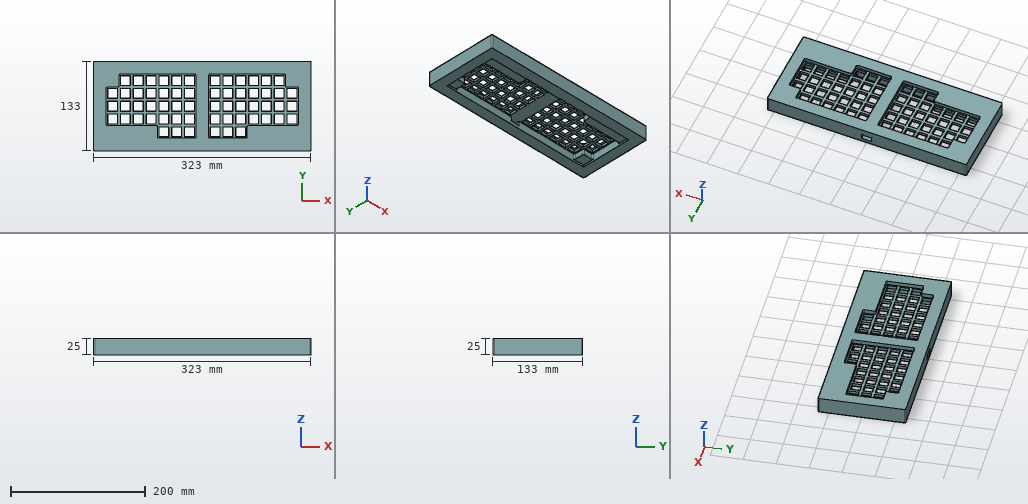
import cadquery as cq
length = 323.0
columns_across = 17
rows_across = 7
pitch = length / columns_across
width = rows_across * pitch
height = 25.0
outer_corner_radius = 2.0

hand_columns = 7
hand_rows = 5
thumb_columns = 3
middle_bar = pitch
opening_corner_radius = outer_corner_radius

key_hole = 14.2
plate_depth = 6.0
plate_thickness = 5.0
plate_bottom = height - plate_depth - plate_thickness

cover_recess_depth = 4.0
cable_slot_width = 16.0
cable_slot_floor = 6.0

inner_x = middle_bar / 2
outer_x = inner_x + hand_columns * pitch
field_top = hand_rows * pitch / 2


def block_between(x_size, y_size, bottom, top):
    """Box centred on the Z axis between two heights."""
    return (
        cq.Workplane("XY", origin=(0, 0, bottom))
        .box(x_size, y_size, top - bottom, centered=(True, True, False))
    )


def has_key(column, row):
    """Columns count outwards from the middle bar, rows count down from the back."""
    if row == 0:
        return column < hand_columns - 1
    if row == hand_rows - 1:
        return column < thumb_columns
    return True


def field_prism(outline, bottom, top):
    """Upright prism with rounded corners."""
    return (
        cq.Workplane("XY", origin=(0, 0, bottom))
        .polyline(outline)
        .close()
        .extrude(top - bottom)
        .edges("|Z")
        .fillet(opening_corner_radius)
    )


def outer_steps(side):
    """Stepped outer boundary of one hand, from back to front; side is -1 (left) or 1 (right)."""
    step_x = outer_x - pitch
    thumb_x = inner_x + thumb_columns * pitch
    step_y = field_top - pitch
    points = [
        (step_x, field_top),
        (step_x, step_y),
        (outer_x, step_y),
        (outer_x, -step_y),
        (thumb_x, -step_y),
        (thumb_x, -field_top),
    ]
    return [(side * x, y) for x, y in points]


def hand_pocket(side):
    """Pocket of one hand from the top face down to the key plate."""
    inner_edge = [(side * inner_x, -field_top), (side * inner_x, field_top)]
    return field_prism(outer_steps(side) + inner_edge, height - plate_depth, height)


def key_holes(side):
    """Square key holes of one hand through the key plate."""
    centers = [
        (side * (inner_x + (column + 0.5) * pitch), field_top - (row + 0.5) * pitch)
        for column in range(hand_columns)
        for row in range(hand_rows)
        if has_key(column, row)
    ]
    return (
        cq.Workplane("XY", origin=(0, 0, plate_bottom))
        .pushPoints(centers)
        .rect(key_hole, key_hole)
        .extrude(plate_thickness)
    )


def lower_cavity():
    """Open cavity below the key plate, shared by both hands and running under the middle bar."""
    left_side = list(reversed(outer_steps(-1)))
    return field_prism(outer_steps(1) + left_side, 0, plate_bottom)


def cover_recess():
    """Shallow recess in the bottom face that squares off the stepped corners of the cavity."""
    return block_between(2 * outer_x, 2 * field_top, 0, cover_recess_depth)


def cable_slot():
    """Rectangular slot from the cavity through the back wall, centred on the middle bar."""
    return (
        block_between(cable_slot_width, width / 2, cable_slot_floor, plate_bottom)
        .translate((0, width / 4, 0))
    )


result = block_between(length, width, 0, height).edges("|Z").fillet(outer_corner_radius)
for side in (-1, 1):
    result = result.cut(hand_pocket(side)).cut(key_holes(side))
result = result.cut(lower_cavity()).cut(cover_recess()).cut(cable_slot())